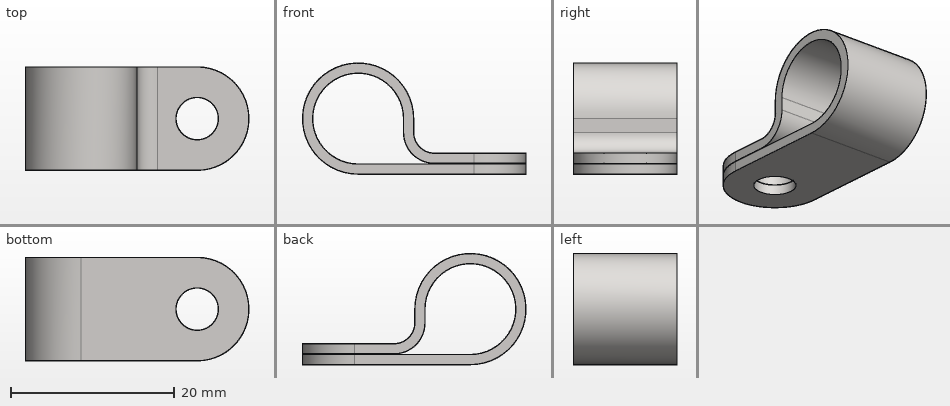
import cadquery as cq
import math

strap_width = 12.7
overall_height = 13.64
strap_thickness = 1.27
bend_inner_radius = 2.54
flange_gap = 0.05
tab_center_x = 14.22
screw_hole_diameter = 5.16

loop_outer_radius = overall_height / 2
loop_inner_radius = loop_outer_radius - strap_thickness
bend_outer_radius = bend_inner_radius + strap_thickness
tab_radius = strap_width / 2
tab_end_x = tab_center_x + tab_radius

lower_bottom_z = -loop_outer_radius
lower_top_z = -loop_inner_radius
upper_bottom_z = lower_top_z + flange_gap
upper_top_z = upper_bottom_z + strap_thickness
bend_center_x = loop_outer_radius + bend_inner_radius
bend_center_z = upper_top_z + bend_inner_radius


def loop_middle(radius):
    """Point halfway along the three-quarter loop, at its upper left."""
    return (-radius * math.sqrt(0.5), radius * math.sqrt(0.5))


def add_bend(outline, radius, turns_down):
    """Add the quarter arc between the upright wall and the upper flange."""
    wall_end = (bend_center_x - radius, bend_center_z)
    flange_end = (bend_center_x, bend_center_z - radius)
    if turns_down:
        return outline.lineTo(*wall_end).radiusArc(flange_end, -radius)
    return outline.lineTo(*flange_end).radiusArc(wall_end, radius)


def make_strap():
    """Bent strip: lower flange, open loop, upright wall, bend and upper flange."""
    outline = (
        cq.Workplane("XZ", origin=(0, strap_width / 2, 0))
        .moveTo(tab_end_x, lower_bottom_z)
        .lineTo(0, lower_bottom_z)
        .threePointArc(loop_middle(loop_outer_radius), (loop_outer_radius, 0))
    )
    outline = add_bend(outline, bend_inner_radius, turns_down=True)
    outline = outline.lineTo(tab_end_x, upper_top_z).lineTo(tab_end_x, upper_bottom_z)
    outline = add_bend(outline, bend_outer_radius, turns_down=False)
    outline = (
        outline.lineTo(loop_inner_radius, 0)
        .threePointArc(loop_middle(loop_inner_radius), (0, lower_top_z))
        .lineTo(tab_end_x, lower_top_z)
        .close()
    )
    return outline.extrude(strap_width)


def make_tab_envelope():
    """Block over the whole strap whose +X end is rounded to the tab outline."""
    return (
        cq.Workplane("XY", origin=(0, 0, -loop_outer_radius))
        .moveTo(-loop_outer_radius, -tab_radius)
        .lineTo(tab_center_x, -tab_radius)
        .threePointArc((tab_end_x, 0), (tab_center_x, tab_radius))
        .lineTo(-loop_outer_radius, tab_radius)
        .close()
        .extrude(overall_height)
    )


def make_screw_hole():
    """Cutter for the screw hole through both flanges."""
    return (
        cq.Workplane("XY", origin=(tab_center_x, 0, -loop_outer_radius))
        .circle(screw_hole_diameter / 2)
        .extrude(overall_height)
    )


result = make_strap().intersect(make_tab_envelope()).cut(make_screw_hole())